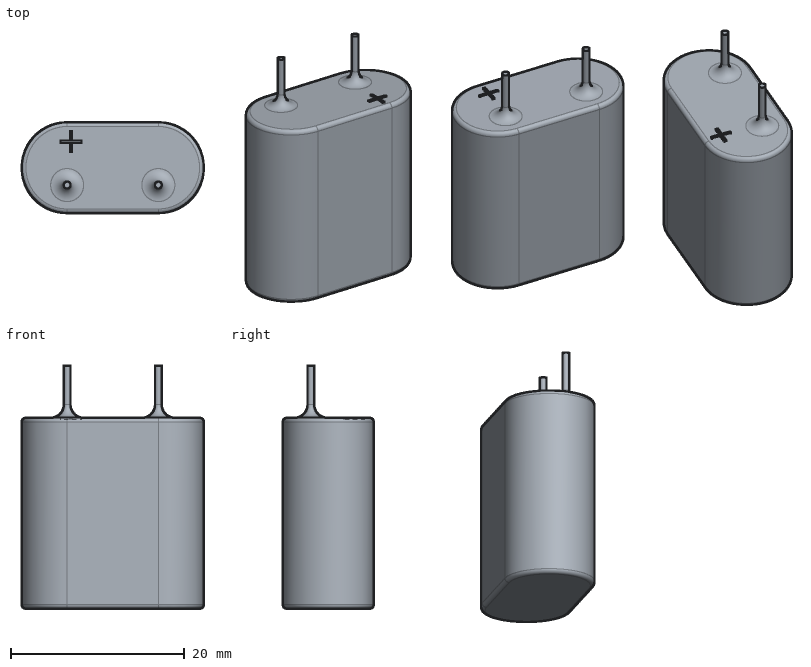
import cadquery as cq
import math

body_length = 21.0
body_width = 10.5
body_height = 22.0
edge_radius = 0.5

pin_diameter = 0.8
pin_height = 6.0
pin_spacing = 10.5
pin_y = -2.0
foot_radius = 1.5
pin_root_depth = 0.5

plus_x = -4.8
plus_y = 3.0
plus_span = 2.4
plus_stroke = 0.26
plus_depth = 0.2


def make_body():
    """Stadium prism with its top and bottom rims rounded."""
    prism = cq.Workplane("XY").slot2D(body_length, body_width).extrude(body_height)
    return prism.faces("|Z").edges().fillet(edge_radius)


def make_pin(x):
    """Round pin with a flared foot, revolved and rooted just inside the body."""
    pin_radius = pin_diameter / 2
    flare_radius = pin_radius + foot_radius
    arc_offset = foot_radius * (1 - math.cos(math.radians(45)))
    profile = (
        cq.Workplane("XZ")
        .moveTo(0, -pin_root_depth)
        .lineTo(flare_radius, -pin_root_depth)
        .lineTo(flare_radius, 0)
        .threePointArc((pin_radius + arc_offset, arc_offset), (pin_radius, foot_radius))
        .lineTo(pin_radius, pin_height)
        .lineTo(0, pin_height)
        .close()
    )
    pin = profile.revolve(360, (0, 0, 0), (0, 1, 0))
    return pin.translate((x, pin_y, body_height))


def make_plus():
    """Cutter for the plus sign, reaching down from the top face."""
    plane = cq.Workplane("XY", origin=(plus_x, plus_y, body_height))
    bar_x = plane.rect(plus_span, plus_stroke).extrude(-plus_depth)
    bar_y = plane.rect(plus_stroke, plus_span).extrude(-plus_depth)
    return bar_x.union(bar_y)


result = make_body().cut(make_plus())
for side in (-1, 1):
    result = result.union(make_pin(side * pin_spacing / 2))